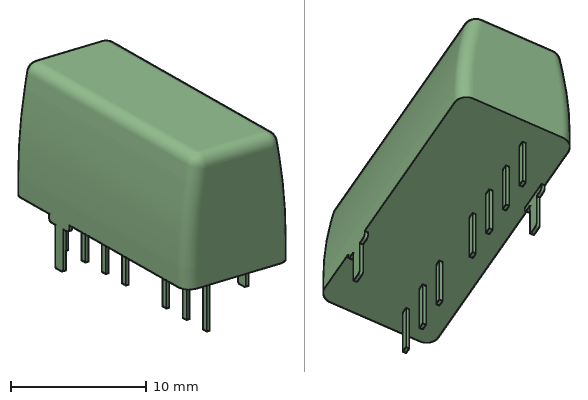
import cadquery as cq
import math

housing_length = 21.8
housing_width = 9.6
total_height = 15.3
pin_length = 4.7
housing_height = total_height - pin_length
skirt_height = 1.65
side_radius = 40.0
draft_angle = math.radians(10)
edge_radius = 1.0

pin_grid_span = 17.79
pin_positions = 8
empty_position = 4
pin_pitch = pin_grid_span / (pin_positions - 1)
pin_width = 0.5
pin_thickness = 0.28
pin_row_y = -1.5

lug_offset_x = 2 * pin_pitch
lug_thickness = pin_thickness
lug_base_width = pin_pitch
lug_base_depth = 0.6
lug_base_radius = 0.3
lug_tab_width = 1.0
lug_tab_depth = 4.1
lug_tab_radius = 0.2

root_depth = 0.44


def side_arc_point(angle):
    """Y and Z on the curved +Y side where it leans inward by the given angle."""
    y = housing_width / 2 - side_radius * (1 - math.cos(angle))
    z = skirt_height + side_radius * math.sin(angle)
    return y, z


def mirrored(point):
    return -point[0], point[1]


def make_housing():
    """End profile extruded along X, with rounded upright and top edges. Z = 0 is its underside."""
    half_width = housing_width / 2
    arc_middle = side_arc_point(draft_angle / 2)
    arc_end = side_arc_point(draft_angle)
    draft_height = housing_height - arc_end[1]
    top_corner = (arc_end[0] - draft_height * math.tan(draft_angle), housing_height)
    body = (
        cq.Workplane("YZ")
        .moveTo(-half_width, 0)
        .lineTo(half_width, 0)
        .lineTo(half_width, skirt_height)
        .threePointArc(arc_middle, arc_end)
        .lineTo(*top_corner)
        .lineTo(*mirrored(top_corner))
        .lineTo(*mirrored(arc_end))
        .threePointArc(mirrored(arc_middle), (-half_width, skirt_height))
        .close()
        .extrude(housing_length / 2, both=True)
    )
    end_edges = body.faces("<X or >X").edges("not <Z")
    top_edges = body.faces(">Z").edges("|X")
    return body.newObject(end_edges.vals() + top_edges.vals()).fillet(edge_radius)


def hanging_plate(width, thickness, depth, x, y):
    """Upright plate centred on x and y, reaching from inside the housing down to the given depth."""
    height = depth + root_depth
    return cq.Workplane("XY").box(width, thickness, height).translate((x, y, root_depth - height / 2))


def make_pins():
    pins = cq.Workplane("XY")
    for position in range(pin_positions):
        if position == empty_position:
            continue
        x = position * pin_pitch - pin_grid_span / 2
        pins = pins.add(hanging_plate(pin_width, pin_thickness, pin_length, x, pin_row_y))
    return pins.combine()


def make_lug(side):
    """Lug with a wide base and a narrow tab; side is -1 (at -X, -Y) or 1 (at +X, +Y)."""
    x = side * lug_offset_x
    y = side * (housing_width - lug_thickness) / 2
    base = hanging_plate(lug_base_width, lug_thickness, lug_base_depth, x, y)
    base = base.faces("<Z").edges("|Y").fillet(lug_base_radius)
    tab = hanging_plate(lug_tab_width, lug_thickness, lug_tab_depth, x, y)
    tab = tab.faces("<Z").edges("|Y").fillet(lug_tab_radius)
    return base.union(tab)


result = make_housing().union(make_pins())
for lug_side in (-1, 1):
    result = result.union(make_lug(lug_side))